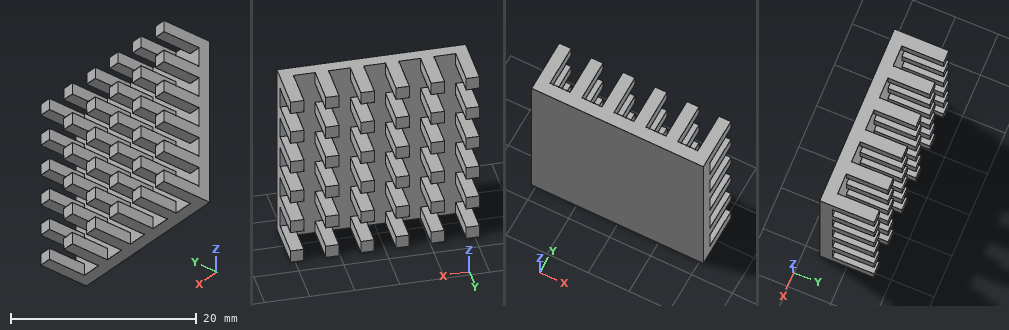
import cadquery as cq

side = 21.0
total_depth = 6.4
base_thickness = 1.51
pin_width = 1.5
pins_per_side = 6

pin_height = total_depth - base_thickness
pin_pitch = (side - pin_width) / (pins_per_side - 1)


def make_base():
    """Square plate centred on X and Z, with its flat face at Y = 0."""
    return cq.Workplane("XY").box(side, base_thickness, side, centered=(True, False, True))


def add_pins(body):
    """Grow a square grid of pins from the back of the base, flush with its edges."""
    return (
        body.faces(">Y")
        .workplane(origin=(0, base_thickness, 0))
        .rarray(pin_pitch, pin_pitch, pins_per_side, pins_per_side)
        .rect(pin_width, pin_width)
        .extrude(pin_height)
    )


result = add_pins(make_base())